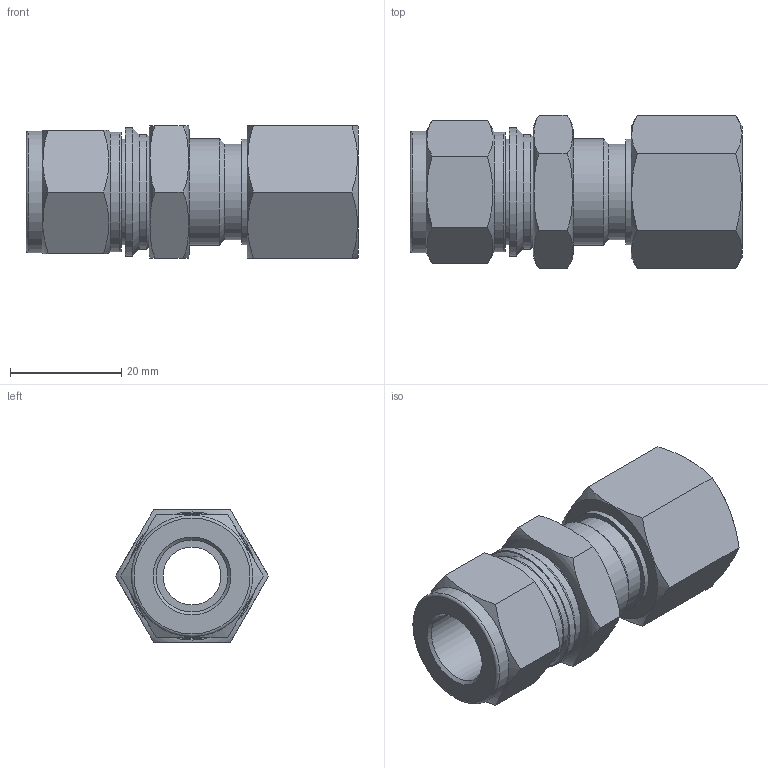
import cadquery as cq
import math


HEX_HALF_SECTOR = 30.0
NUT_ACROSS_FLATS = 22.2
BODY_ACROSS_FLATS = 23.8
HEX_CHAMFER_ANGLE = 30.0
NUT_FRONT_FACE_DIA = 21.8
NUT_START = 2.88
NUT_END = 15.1
MIDDLE_HEX_START = 22.12
MIDDLE_HEX_END = 29.3
MIDDLE_HEX_CREST_DIA = 21.6
MIDDLE_HEX_CROWN_RADIUS = 4.5
END_HEX_START = 39.7
OVERALL_LENGTH = 59.6
END_HEX_FACE_DIA = 23.6

FRONT_COLLAR_DIA = 21.8
FRONT_COLLAR_FILLET = 0.5
REAR_COLLAR_DIA = 21.5
REAR_COLLAR_END = 17.1
REAR_COLLAR_LIP_START = 16.78
REAR_COLLAR_LIP_DIA = 21.3

NECK_DIA = 18.9
FLANGE_START = 17.8
FLANGE_WIDTH = 1.3
FLANGE_DIA = 23.0
FLANGE_RECESS_DIA = 22.6
SHOULDER_DIA = 20.6
SHOULDER_CHAMFER = 0.6
THREAD_DIA = 19.05
THREAD_END = 34.7
RELIEF_DIA = 17.2
END_COLLAR_START = 38.7
END_COLLAR_DIA = 19.0

TUBE_SOCKET_DIA = 12.9
TUBE_SOCKET_DEPTH = 22.9
TUBE_SOCKET_CHAMFER = 0.55
THROUGH_BORE_DIA = 10.41


def revolve_about_x(half_section):
    """Full turn of a closed half section around the part's X axis."""
    return half_section.revolve(360, (0, 0, 0), (1, 0, 0))


def cylinder(start, end, diameter):
    """Round bar along X from start to end."""
    return cq.Workplane("YZ", origin=(start, 0, 0)).circle(diameter / 2).extrude(end - start)


def cone(start, end, start_diameter, end_diameter):
    """Truncated cone along X with the given end diameters."""
    profile = [
        (start, 0),
        (start, start_diameter / 2),
        (end, end_diameter / 2),
        (end, 0),
    ]
    return revolve_about_x(cq.Workplane("XY").polyline(profile).close())


def hexagon_bar(start, end, across_flats):
    """Hexagon along X with flats facing +Z and -Z."""
    plane = cq.Workplane("YZ", origin=(start, 0, 0))
    return plane.polygon(6, corner_diameter(across_flats)).extrude(end - start)


def corner_diameter(across_flats):
    """Distance across the corners of a hexagon."""
    return across_flats / math.cos(math.radians(HEX_HALF_SECTOR))


def crown_depth(radius):
    """Distance from the crest of the middle hexagon's crowned face back to the given radius."""
    from_crest = radius - MIDDLE_HEX_CREST_DIA / 2
    return MIDDLE_HEX_CROWN_RADIUS - math.sqrt(MIDDLE_HEX_CROWN_RADIUS**2 - from_crest**2)


def chamfered_hexagon(start, end, across_flats, start_face_dia, end_face_dia, angle):
    """Hexagon whose corners are turned off conically at both ends."""
    corner_dia = corner_diameter(across_flats)
    slope = math.tan(math.radians(angle))
    start_chamfer = (corner_dia - start_face_dia) / 2 * slope
    end_chamfer = (corner_dia - end_face_dia) / 2 * slope
    profile = [
        (start, 0),
        (start, start_face_dia / 2),
        (start + start_chamfer, corner_dia / 2),
        (end - end_chamfer, corner_dia / 2),
        (end, end_face_dia / 2),
        (end, 0),
    ]
    envelope = revolve_about_x(cq.Workplane("XY").polyline(profile).close())
    return hexagon_bar(start, end, across_flats).intersect(envelope)


def middle_hexagon():
    """Bulkhead hexagon with both faces turned to a shallow convex crown."""
    start = MIDDLE_HEX_START
    end = MIDDLE_HEX_END
    crest_radius = MIDDLE_HEX_CREST_DIA / 2
    corner_radius = corner_diameter(BODY_ACROSS_FLATS) / 2
    root_radius = THREAD_DIA / 2
    root_depth = crown_depth(root_radius)
    corner_depth = crown_depth(corner_radius)
    half_section = (
        cq.Workplane("XY")
        .moveTo(start + root_depth, 0)
        .lineTo(start + root_depth, root_radius)
        .threePointArc((start, crest_radius), (start + corner_depth, corner_radius))
        .lineTo(end - corner_depth, corner_radius)
        .threePointArc((end, crest_radius), (end - root_depth, root_radius))
        .lineTo(end - root_depth, 0)
        .close()
    )
    envelope = revolve_about_x(half_section)
    return hexagon_bar(start, end, BODY_ACROSS_FLATS).intersect(envelope)


def compression_nut():
    """Hexagon nut with a rounded front collar and a slightly tapered rear collar."""
    front = cylinder(0, NUT_START, FRONT_COLLAR_DIA).faces("<X").edges().fillet(FRONT_COLLAR_FILLET)
    rear = cylinder(NUT_END, REAR_COLLAR_LIP_START, REAR_COLLAR_DIA)
    lip = cone(REAR_COLLAR_LIP_START, REAR_COLLAR_END, REAR_COLLAR_DIA, REAR_COLLAR_LIP_DIA)
    hexagon = chamfered_hexagon(
        NUT_START, NUT_END, NUT_ACROSS_FLATS, NUT_FRONT_FACE_DIA, REAR_COLLAR_DIA, HEX_CHAMFER_ANGLE
    )
    return front.union(hexagon).union(rear).union(lip)


def flange_and_shoulder():
    """Neck, cup-shaped flange open toward the nut and chamfered shoulder up to the middle hexagon."""
    flange_end = FLANGE_START + FLANGE_WIDTH
    shoulder_start = flange_end + (FLANGE_DIA - SHOULDER_DIA) / 2
    hex_root = MIDDLE_HEX_START + crown_depth(THREAD_DIA / 2)
    shoulder_end = hex_root - SHOULDER_CHAMFER
    recess_floor = FLANGE_START + (FLANGE_RECESS_DIA - NECK_DIA) / 2
    neck = cylinder(REAR_COLLAR_END, recess_floor, NECK_DIA)
    flange = cylinder(FLANGE_START, flange_end, FLANGE_DIA)
    flange_cone = cone(flange_end, shoulder_start, FLANGE_DIA, SHOULDER_DIA)
    shoulder = cylinder(shoulder_start, shoulder_end, SHOULDER_DIA)
    shoulder_cone = cone(shoulder_end, hex_root, SHOULDER_DIA, SHOULDER_DIA - 2 * SHOULDER_CHAMFER)
    recess = cone(FLANGE_START, recess_floor, FLANGE_RECESS_DIA, NECK_DIA)
    washer = flange.union(flange_cone).cut(recess)
    return washer.union(neck).union(shoulder).union(shoulder_cone)


def thread_and_relief():
    """Threaded length modelled at its major diameter, its relief and the collar of the end hexagon."""
    relief_start = THREAD_END + (THREAD_DIA - RELIEF_DIA) / 2
    hex_root = MIDDLE_HEX_END - crown_depth(THREAD_DIA / 2)
    thread = cylinder(hex_root, THREAD_END, THREAD_DIA)
    runout = cone(THREAD_END, relief_start, THREAD_DIA, RELIEF_DIA)
    relief = cylinder(relief_start, END_COLLAR_START, RELIEF_DIA)
    collar = cylinder(END_COLLAR_START, END_HEX_START, END_COLLAR_DIA)
    return thread.union(runout).union(relief).union(collar)


def bore():
    """Chamfered tube socket that steps down to the through bore."""
    mouth_dia = TUBE_SOCKET_DIA + 2 * TUBE_SOCKET_CHAMFER
    mouth = cone(0, TUBE_SOCKET_CHAMFER, mouth_dia, TUBE_SOCKET_DIA)
    socket = cylinder(0, TUBE_SOCKET_DEPTH, TUBE_SOCKET_DIA)
    through = cylinder(0, OVERALL_LENGTH, THROUGH_BORE_DIA)
    return mouth.union(socket).union(through)


end_hexagon = chamfered_hexagon(
    END_HEX_START,
    OVERALL_LENGTH,
    BODY_ACROSS_FLATS,
    END_HEX_FACE_DIA,
    END_HEX_FACE_DIA,
    HEX_CHAMFER_ANGLE,
)

result = (
    compression_nut()
    .union(flange_and_shoulder())
    .union(middle_hexagon())
    .union(thread_and_relief())
    .union(end_hexagon)
    .cut(bore())
)